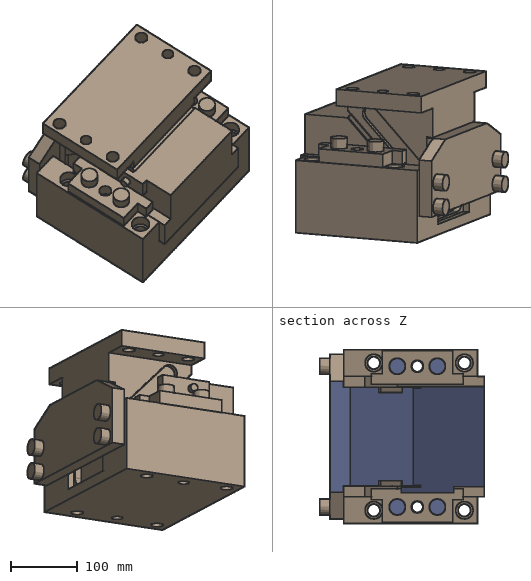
import cadquery as cq
import math


SIDES = (-1, 1)

BASE_LENGTH = 200.0
BASE_WIDTH = 260.0
BASE_HEIGHT = 110.0
CHANNEL_WIDTH = 180.0
CHANNEL_FLOOR = 62.0

FIXING_X = (45.0, 180.2)
FIXING_Y = 110.0
FIXING_DIAMETER = 18.2
FIXING_HEAD_DIAMETER = 26.0
FIXING_HEAD_DEPTH = 18.0

WINDOW_WIDTH = 110.0
WINDOW_BOTTOM = 16.0
WINDOW_DEPTH = 10.0
POCKET_WIDTH = 102.0
POCKET_BOTTOM = 19.5
POCKET_CORNER = 15.0
POCKET_DEPTH = 10.0

HEAD_DIAMETER = 24.2
HEAD_HEIGHT = 15.3

FRONT_THICKNESS = 20.5
FRONT_WIDTH = 246.0
FRONT_BOTTOM = 39.5
FRONT_SHOULDER = 124.8
FRONT_TOP = 149.5
TONGUE_DEPTH = 10.5
FRONT_SCREW_Y = 105.0
FRONT_SCREW_Z = (52.8, 90.0)

RETAINER_X = 110.0
RETAINER_LENGTH = 105.0
RETAINER_WING_LENGTH = 137.0
RETAINER_HEIGHT = 20.0
RETAINER_INNER_Y = 78.0
RETAINER_WING_Y = 93.9
RETAINER_OUTER_Y = 128.0
RETAINER_SCREW_Y = 105.0
RETAINER_SCREW_OFFSET = 30.0
RETAINER_DOWEL_DIAMETER = 18.0
BASE_DOWEL_DIAMETER = 16.0

TOTAL_HEIGHT = 220.0
TOP_LENGTH = 140.0
TOP_WIDTH = 230.0
TOP_THICKNESS = 25.0
TOP_HOLE_Y = 100.0
TOP_HOLES = ((20.0, 18.2), (70.0, 16.0), (120.0, 18.2))
COLUMN_WIDTH = 148.0
COLUMN_STEP = 150.5
GROOVE_END_X = 103.2
GROOVE_END_Z = 178.4
GROOVE_RADIUS = 12.2
GROOVE_DEPTH = 8.0
LIP_BOTTOM = 113.0

SLIDING_RISE = 40.8

SLIDE_END = 210.0
SLIDE_TOP = 170.0
SLIDE_WIDTH = 150.0
SLIDE_RISE = 30.2
WEAR_PLATE_WIDTH = 145.3
WEAR_PLATE_TIP_X = 135.0

BRACKET_X = 85.8
BRACKET_LENGTH = 78.8
BRACKET_HEIGHT = 30.0
BRACKET_THICKNESS = 9.0
HOOK_DEPTH = 6.0
PIN_X = 135.0
PIN_Z = 155.0
PIN_DIAMETER = 12.0
PIN_LENGTH = 8.0


def box(x_range, y_range, z_range):
    """A box spanning the given (low, high) ranges."""
    lows, highs = zip(x_range, y_range, z_range)
    sizes = [high - low for low, high in zip(lows, highs)]
    return cq.Workplane("XY").box(*sizes, centered=False).translate(lows)


def centred(width):
    """The Y range of a feature that is symmetric about the centre plane."""
    return (-width / 2, width / 2)


def side_profile(points, width):
    """An XZ outline extruded symmetrically across the centre plane."""
    return cq.Workplane("XZ").polyline(points).close().extrude(width / 2, both=True)


def vertical_cylinder(x, y, bottom, diameter, height):
    """An upright cylinder standing on the level `bottom`."""
    return cq.Workplane("XY", origin=(x, y, bottom)).circle(diameter / 2).extrude(height)


def base_block():
    """Block with the slide channel, the front window and the corner holes."""
    block = box((0, BASE_LENGTH), centred(BASE_WIDTH), (0, BASE_HEIGHT))
    block = block.cut(box((0, BASE_LENGTH), centred(CHANNEL_WIDTH), (CHANNEL_FLOOR, BASE_HEIGHT)))
    block = block.cut(box((0, WINDOW_DEPTH), centred(WINDOW_WIDTH), (WINDOW_BOTTOM, CHANNEL_FLOOR)))
    pocket = box(
        (WINDOW_DEPTH, WINDOW_DEPTH + POCKET_DEPTH),
        centred(POCKET_WIDTH),
        (POCKET_BOTTOM, CHANNEL_FLOOR),
    )
    block = block.cut(pocket.edges("|X and <Z").fillet(POCKET_CORNER))
    corners = [(x, side * FIXING_Y) for x in FIXING_X for side in SIDES]
    return (
        block.faces(">Z")
        .workplane(origin=(0, 0, BASE_HEIGHT))
        .pushPoints(corners)
        .cboreHole(FIXING_DIAMETER, FIXING_HEAD_DIAMETER, FIXING_HEAD_DEPTH)
    )


def front_plate():
    """Plate with sloped shoulders, its tongue and four screw heads."""
    half_width = FRONT_WIDTH / 2
    half_top = COLUMN_WIDTH / 2
    outline = [
        (-half_width, FRONT_BOTTOM),
        (half_width, FRONT_BOTTOM),
        (half_width, FRONT_SHOULDER),
        (half_top, FRONT_TOP),
        (-half_top, FRONT_TOP),
        (-half_width, FRONT_SHOULDER),
    ]
    plate = cq.Workplane("YZ").polyline(outline).close().extrude(-FRONT_THICKNESS)
    tongue = box((0, TONGUE_DEPTH), centred(COLUMN_WIDTH), (CHANNEL_FLOOR, FRONT_TOP))
    screw_centres = [(side * FRONT_SCREW_Y, z) for side in SIDES for z in FRONT_SCREW_Z]
    heads = (
        cq.Workplane("YZ", origin=(-FRONT_THICKNESS, 0, 0))
        .pushPoints(screw_centres)
        .circle(HEAD_DIAMETER / 2)
        .extrude(-HEAD_HEIGHT)
    )
    return plate.union(tongue).union(heads)


def retainer(side):
    """T-shaped retainer with two screw heads on one side of the base."""
    levels = (BASE_HEIGHT, BASE_HEIGHT + RETAINER_HEIGHT)

    def bar(length, outer_y):
        x_range = (RETAINER_X - length / 2, RETAINER_X + length / 2)
        y_range = sorted((side * RETAINER_INNER_Y, side * outer_y))
        return box(x_range, y_range, levels)

    body = bar(RETAINER_LENGTH, RETAINER_OUTER_Y).union(bar(RETAINER_WING_LENGTH, RETAINER_WING_Y))
    for offset in (-RETAINER_SCREW_OFFSET, RETAINER_SCREW_OFFSET):
        head = vertical_cylinder(
            RETAINER_X + offset, side * RETAINER_SCREW_Y, levels[1], HEAD_DIAMETER, HEAD_HEIGHT
        )
        body = body.union(head)
    return body


def make_base():
    """Base block with its front plate and retainers, drilled for the dowels."""
    base = base_block().union(front_plate())
    for side in SIDES:
        base = base.union(retainer(side))
        y = side * RETAINER_SCREW_Y
        base = base.cut(vertical_cylinder(RETAINER_X, y, 0, BASE_DOWEL_DIAMETER, BASE_HEIGHT))
        base = base.cut(
            vertical_cylinder(RETAINER_X, y, BASE_HEIGHT, RETAINER_DOWEL_DIAMETER, RETAINER_HEIGHT)
        )
    return base


def column_groove(side):
    """Round-ended 45 degree groove cutter for one side of the column."""
    length = (GROOVE_END_Z - CHANNEL_FLOOR) * math.sqrt(2)
    end = cq.Workplane("XZ").circle(GROOVE_RADIUS).extrude(GROOVE_DEPTH, both=True)
    run = cq.Workplane("XY").box(length, 2 * GROOVE_DEPTH, 2 * GROOVE_RADIUS)
    cutter = end.union(run.translate((-length / 2, 0, 0)))
    cutter = cutter.rotate((0, 0, 0), (0, 1, 0), -45)
    return cutter.translate((GROOVE_END_X, side * COLUMN_WIDTH / 2, GROOVE_END_Z))


def lip_relief(side):
    """Cutter that removes the lip between a groove and the sliding face at its low end."""
    centre_rise = GROOVE_END_Z - GROOVE_END_X
    outline = [
        (CHANNEL_FLOOR - centre_rise, CHANNEL_FLOOR),
        (LIP_BOTTOM - centre_rise, LIP_BOTTOM),
        (LIP_BOTTOM - SLIDING_RISE, LIP_BOTTOM),
        (CHANNEL_FLOOR - SLIDING_RISE, CHANNEL_FLOOR),
    ]
    return side_profile(outline, 2 * GROOVE_DEPTH).translate((0, side * COLUMN_WIDTH / 2, 0))


def make_punch_holder():
    """Top plate with its holes, and the grooved column below it."""
    underside = TOTAL_HEIGHT - TOP_THICKNESS
    column = side_profile(
        [
            (0, underside),
            (TOP_LENGTH, underside),
            (TOP_LENGTH, TOP_LENGTH + SLIDING_RISE),
            (CHANNEL_FLOOR - SLIDING_RISE, CHANNEL_FLOOR),
            (TONGUE_DEPTH, CHANNEL_FLOOR),
            (TONGUE_DEPTH, COLUMN_STEP),
            (0, COLUMN_STEP),
        ],
        COLUMN_WIDTH,
    )
    plate = box((0, TOP_LENGTH), centred(TOP_WIDTH), (underside, TOTAL_HEIGHT))
    for side in SIDES:
        column = column.cut(column_groove(side)).cut(lip_relief(side))
        for x, diameter in TOP_HOLES:
            hole = vertical_cylinder(x, side * TOP_HOLE_Y, underside, diameter, TOP_THICKNESS)
            plate = plate.cut(hole)
    return plate.union(column)


def wedge(top, width):
    """Part of the slide below its 45 degree face, cut level at `top`."""
    return side_profile(
        [
            (CHANNEL_FLOOR - SLIDE_RISE, CHANNEL_FLOOR),
            (SLIDE_END, CHANNEL_FLOOR),
            (SLIDE_END, top),
            (top - SLIDE_RISE, top),
        ],
        width,
    )


def wear_plate():
    """Plate between the slide's 45 degree face and the sliding face."""
    tip_z = WEAR_PLATE_TIP_X + SLIDING_RISE
    return side_profile(
        [
            (CHANNEL_FLOOR - SLIDING_RISE, CHANNEL_FLOOR),
            (WEAR_PLATE_TIP_X, tip_z),
            (WEAR_PLATE_TIP_X + tip_z - SLIDE_TOP, SLIDE_TOP),
            (SLIDE_TOP - SLIDE_RISE, SLIDE_TOP),
            (CHANNEL_FLOOR - SLIDE_RISE, CHANNEL_FLOOR),
        ],
        WEAR_PLATE_WIDTH,
    )


def stop_bracket():
    """Bracket on the slide's -Y side, with a hook in the column's groove and a short pin."""
    inner_y = -SLIDE_WIDTH / 2
    outer_y = inner_y - BRACKET_THICKNESS
    x_range = (BRACKET_X, BRACKET_X + BRACKET_LENGTH)
    z_range = (SLIDE_TOP - BRACKET_HEIGHT, SLIDE_TOP)
    bracket = box(x_range, (outer_y, inner_y), z_range)
    hook_end_y = HOOK_DEPTH - COLUMN_WIDTH / 2
    hook = box(x_range, (outer_y, hook_end_y), z_range).intersect(column_groove(-1))
    pin = (
        cq.Workplane("XZ", origin=(PIN_X, outer_y, PIN_Z))
        .circle(PIN_DIAMETER / 2)
        .extrude(PIN_LENGTH)
    )
    return bracket.union(hook).union(pin)


def make_slide():
    """Wedge block with guide flanges, wear plate and stop bracket."""
    slide = wedge(SLIDE_TOP, SLIDE_WIDTH).union(wedge(BASE_HEIGHT, CHANNEL_WIDTH))
    return slide.union(wear_plate()).union(stop_bracket())


base = make_base()
punch_holder = make_punch_holder()
slide = make_slide()

bodies = (base, punch_holder, slide)
result = cq.Compound.makeCompound([body.solids().val() for body in bodies])